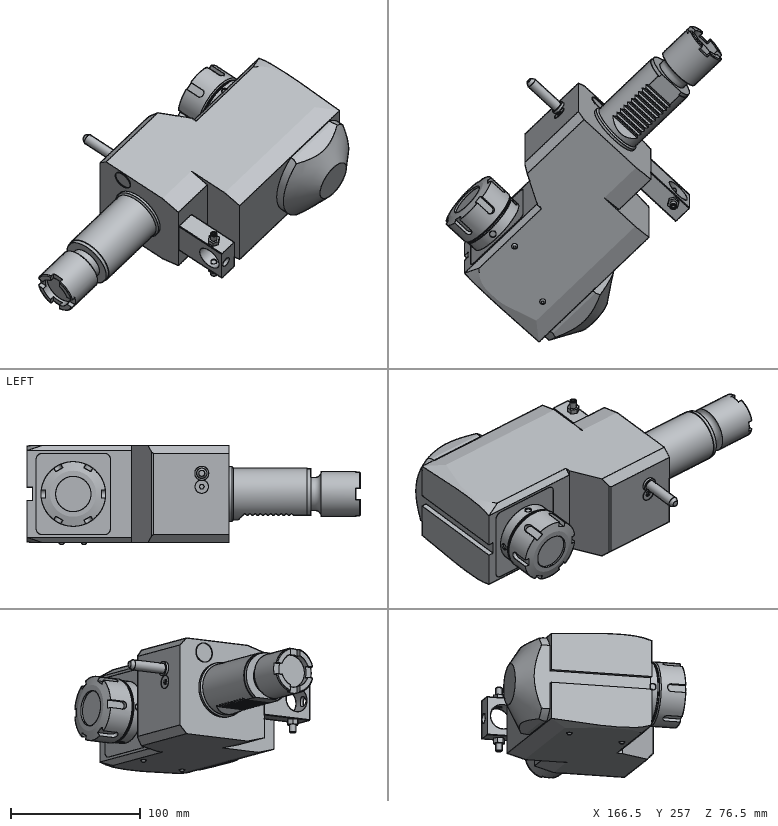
import cadquery as cq
import math


embed = 2.5

body_top = 37.5
body_back = 155.7
left_lower, left_upper = -38.8, -8.7
right_lower, right_upper = 39.5, 72.0
step_y = 35.0
slope_low_y, slope_high_y = 58.3, 75.3
slope_bevel_x, slope_bevel_y = 0.8, 1.3
left_lower_chamfer, left_upper_chamfer = 6.2, 4.0
side_taper_angle = math.radians(15)
lower_taper_width, upper_taper_width = 15.7, 14.6

relief_slope = 4.2
relief_depth = 12.0
relief_peak_x, relief_peak_depth = 20.3, 3.0
relief_line_x, relief_line_slope = 32.0, 0.3
relief_end_slope = 1.4
relief_overlap = 10.3
key_width, key_depth = 10.0, 4.0

spindle_y = 120.0
plate_width, plate_height, plate_radius, plate_proud = 57.3, 62.7, 5.0, 0.13
collar_radius, collar_end = 24.2, -17.2
neck_radius = 23.1
nut_radius, nut_start, nut_end = 25.0, -18.5, -41.0
nut_bevel_length, nut_rim_radius = 1.8, 17.7
nut_back_bevel = 1.0
nut_bore_radius, nut_bore_depth = 13.5, 1.5
nut_slot_count, nut_slot_width, nut_slot_floor, nut_slot_end = 6, 6.2, 21.5, -24.7
collar_hole_count, collar_hole_x, collar_hole_radius, collar_hole_depth = 4, -13.0, 2.5, 1.3
cap_radius, cap_rim_x = 40.3, 78.6
cap_tip_radius, cap_end = 16.0, 95.0
cap_flat_z, cap_flat_end = 33.0, 75.0

shank_collar_radius, shank_collar_end = 21.3, -2.0
shank_radius, shank_start, shank_end = 20.0, -3.3, -63.0
shank_groove_start, shank_tip_radius = -60.1, 19.5
flat_z, flat_start, flat_ramp = -16.5, -10.5, 5.1
tooth_count, tooth_depth, tooth_width = 10, 1.3, 3.0
first_tooth_y, last_tooth_y = -12.0, -48.0
tooth_pitch = (first_tooth_y - last_tooth_y) / (tooth_count - 1)

head_radius, head_start, head_end = 17.5, -71.0, -101.3
head_neck_radius, head_neck_end, head_chamfer = 12.8, -66.3, 0.8
head_bore_radius, head_bore_depth = 12.5, 6.0
drive_slot_width, drive_slot_depth = 8.7, 3.5

pin_y, pin_z = 21.0, 16.0
pin_diameter, pin_tip_x = 8.0, -71.5
pin_radius = pin_diameter / 2
pin_tip_radius, pin_tip_length = 2.3, 2.8
pin_flange_radius, pin_flange_height = 5.5, 2.0
plug_z, plug_radius, plug_recess = 5.7, 5.1, 0.3
plug_socket_size, socket_depth = 3.9, 1.5
front_plug_x, front_plug_z, front_plug_radius, front_plug_recess = -16.2, 27.8, 7.5, 0.8
nub_places = [(2.3, 111.8), (49.5, 129.0)]
nub_radius, nub_tip_radius, nub_height = 2.3, 1.0, 1.5

block_end, block_front, block_back, block_half_height = 82.2, 0.8, 16.2, 15.2
block_chamfer = 0.5
block_hole_x, block_hole_diameter = 70.0, 19.3
screw_y, screw_radius, screw_end, screw_tip_bevel = 6.2, 2.5, 25.2, 0.5
cross_hole_radius = 3.9
screw_start, screw_hole_radius, screw_socket_size = 10.5, 2.3, 2.8
screw_nut_height, screw_nut_diameter = 3.9, 9.0


def revolve_x(points, y=0.0, z=0.0):
    """Solid of revolution about a line along X; points are (x, radius) from axis to axis."""
    return cq.Workplane("XY").polyline(points).close().revolve(360, (0, 0), (1, 0)).translate((0, y, z))


def prism_y(points, start, length):
    """Prism along +Y from a closed outline of (x, z) points."""
    return cq.Workplane("XZ", origin=(0, start, 0)).polyline(points).close().extrude(-length)


def both_sides(solid):
    """The solid together with its mirror image below the middle plane."""
    return solid.union(solid.mirror("XY"))


def edge_cutter(face_x, inward, width, drop, start, end):
    """Wedge that chamfers the top edge of a side face, along Y from start to end."""
    points = [
        (face_x + inward * width, body_top),
        (face_x - inward * width, body_top - 2 * drop),
        (face_x - inward * width, body_top + drop),
        (face_x + inward * width, body_top + drop),
    ]
    return both_sides(prism_y(points, start, end - start))


def rear_relief():
    """Cutter for the rear top edge: a curve and a straight run, swept down and back."""
    in_plane = 1 / math.hypot(1, relief_slope)
    taper_start = right_upper - upper_taper_width
    outer_right = right_upper + relief_overlap
    outer_depth = relief_depth + relief_line_slope * (outer_right - taper_start)
    line_depth = relief_depth - relief_line_slope * (taper_start - relief_line_x)
    chamfer_start = left_upper + left_upper_chamfer
    corner_depth = relief_slope * left_upper_chamfer
    outer_left = left_upper - relief_overlap
    plane = cq.Plane(origin=(0, body_back, body_top), xDir=(1, 0, 0), normal=(0, relief_slope, -1))
    outline = (
        cq.Workplane(plane)
        .moveTo(outer_right, -relief_overlap)
        .lineTo(outer_right, outer_depth * in_plane)
        .lineTo(relief_line_x, line_depth * in_plane)
        .spline(
            [
                (relief_peak_x, relief_peak_depth * in_plane),
                (chamfer_start, relief_depth * in_plane),
                (left_upper, corner_depth * in_plane),
            ],
            tangents=[(-1, -relief_line_slope * in_plane), (-1, relief_end_slope * in_plane)],
            includeCurrent=True,
        )
        .lineTo(outer_left, corner_depth * in_plane)
        .lineTo(outer_left, -relief_overlap)
        .close()
    )
    return both_sides(outline.extrude(body_back / 2, both=True))


def make_body():
    outline = [
        (left_lower, 0),
        (right_lower, 0),
        (right_lower, step_y),
        (right_upper, step_y),
        (right_upper, body_back),
        (left_upper, body_back),
        (left_upper, slope_high_y),
        (left_lower + slope_bevel_x, slope_low_y + slope_bevel_y),
        (left_lower, slope_low_y),
    ]
    body = cq.Workplane("XY").polyline(outline).close().extrude(body_top, both=True)
    taper = math.tan(side_taper_angle)
    body = body.cut(edge_cutter(left_lower, 1, left_lower_chamfer, left_lower_chamfer, 0, slope_high_y))
    body = body.cut(
        edge_cutter(left_upper, 1, left_upper_chamfer, left_upper_chamfer, slope_high_y, body_back)
    )
    body = body.cut(edge_cutter(right_lower, -1, lower_taper_width, lower_taper_width * taper, 0, step_y))
    body = body.cut(
        edge_cutter(right_upper, -1, upper_taper_width, upper_taper_width * taper, step_y, body_back)
    )
    return body.cut(rear_relief())


def make_cap():
    start = right_upper - embed
    cap = revolve_x(
        [(start, 0), (start, cap_radius), (cap_rim_x, cap_radius), (cap_end, cap_tip_radius), (cap_end, 0)],
        spindle_y,
    )
    end_z = cap_flat_z - (cap_end - cap_flat_end) * math.tan(side_taper_angle)
    envelope = prism_y(
        [
            (start, -cap_flat_z),
            (cap_flat_end, -cap_flat_z),
            (cap_end, -end_z),
            (cap_end, end_z),
            (cap_flat_end, cap_flat_z),
            (start, cap_flat_z),
        ],
        0,
        body_back - key_depth,
    )
    return cap.intersect(envelope)


def make_plate():
    start = left_upper - plate_proud
    return (
        cq.Workplane("YZ", origin=(start, spindle_y, 0))
        .rect(plate_width, plate_height)
        .extrude(embed)
        .edges("|X")
        .fillet(plate_radius)
    )


def make_collet_nut():
    nut = revolve_x(
        [
            (left_upper + embed, 0),
            (left_upper + embed, collar_radius),
            (collar_end, collar_radius),
            (collar_end, neck_radius),
            (nut_start, neck_radius),
            (nut_start, nut_radius - nut_back_bevel),
            (nut_start - nut_back_bevel, nut_radius),
            (nut_end + nut_bevel_length, nut_radius),
            (nut_end, nut_rim_radius),
            (nut_end, nut_bore_radius),
            (nut_end + nut_bore_depth, nut_bore_radius),
            (nut_end + nut_bore_depth, 0),
        ],
        spindle_y,
    )
    slot_length = nut_slot_end - nut_end
    slot = (
        cq.Workplane("XZ", origin=(nut_end, spindle_y + nut_slot_floor, 0))
        .slot2D(2 * slot_length, nut_slot_width)
        .extrude(-nut_radius)
    )
    axis_start = (0, spindle_y, 0)
    axis_end = (1, spindle_y, 0)
    for index in range(nut_slot_count):
        nut = nut.cut(slot.rotate(axis_start, axis_end, index * 360 / nut_slot_count))
    collar_hole = (
        cq.Workplane("XY", origin=(collar_hole_x, spindle_y, collar_radius - collar_hole_depth))
        .circle(collar_hole_radius)
        .extrude(collar_radius)
    )
    for index in range(collar_hole_count):
        nut = nut.cut(collar_hole.rotate(axis_start, axis_end, index * 360 / collar_hole_count))
    return nut


def make_shank():
    shank = (
        cq.Workplane("XY")
        .moveTo(0, embed)
        .lineTo(shank_collar_radius, embed)
        .lineTo(shank_collar_radius, shank_collar_end)
        .lineTo(shank_radius, shank_start)
        .lineTo(shank_radius, shank_groove_start)
        .lineTo(shank_tip_radius, shank_groove_start)
        .lineTo(shank_tip_radius, shank_end)
        .lineTo(head_neck_radius, shank_end)
        .lineTo(head_neck_radius, head_neck_end)
        .tangentArcPoint((head_radius, head_start), relative=False)
        .lineTo(head_radius, head_end + head_chamfer)
        .lineTo(head_radius - head_chamfer, head_end)
        .lineTo(head_bore_radius, head_end)
        .lineTo(head_bore_radius, head_end + head_bore_depth)
        .lineTo(0, head_end + head_bore_depth)
        .close()
        .revolve(360, (0, 0), (0, 1))
    )
    shank = shank.cut(shank_flat())
    for length, width in [(2 * shank_radius, drive_slot_width), (drive_slot_width, 2 * shank_radius)]:
        slot = cq.Workplane("XY").box(length, 2 * drive_slot_depth, width).translate((0, head_end, 0))
        shank = shank.cut(slot)
    return shank


def shank_flat():
    """Cutter for the toothed flat under the shank."""
    flat = (
        cq.Workplane("YZ")
        .polyline(
            [
                (flat_start, flat_z),
                (flat_start + flat_ramp, flat_z - flat_ramp),
                (shank_end, flat_z - flat_ramp),
                (shank_end, flat_z),
            ]
        )
        .close()
        .extrude(shank_radius, both=True)
    )
    for index in range(tooth_count):
        middle = first_tooth_y - index * tooth_pitch
        notch = (
            cq.Workplane("YZ")
            .polyline(
                [
                    (middle - tooth_width / 2, flat_z),
                    (middle, flat_z + tooth_depth),
                    (middle + tooth_width / 2, flat_z),
                ]
            )
            .close()
            .extrude(shank_radius, both=True)
        )
        flat = flat.union(notch)
    return flat


def make_coolant_pin():
    flange_x = left_lower - pin_flange_height
    return revolve_x(
        [
            (left_lower + embed, 0),
            (left_lower + embed, pin_flange_radius),
            (flange_x, pin_flange_radius),
            (flange_x, pin_radius),
            (pin_tip_x + pin_tip_length, pin_radius),
            (pin_tip_x, pin_tip_radius),
            (pin_tip_x, 0),
        ],
        pin_y,
        pin_z,
    )


def plug_recesses():
    """Cutter for the recessed side plug with its hexagon socket, and the recessed front plug."""
    side = cq.Workplane("YZ", origin=(left_lower, pin_y, plug_z))
    plug = side.circle(plug_radius).extrude(plug_recess)
    socket = side.polygon(6, plug_socket_size).extrude(socket_depth)
    front = (
        cq.Workplane("XZ", origin=(front_plug_x, 0, front_plug_z))
        .circle(front_plug_radius)
        .extrude(-front_plug_recess)
    )
    return plug.union(socket).union(front)


def make_nub(x, y):
    """Small conical screw point below the body."""
    outline = [
        (0, embed),
        (nub_radius, embed),
        (nub_radius, 0),
        (nub_tip_radius, -nub_height),
        (0, -nub_height),
    ]
    return (
        cq.Workplane("XZ")
        .polyline(outline)
        .close()
        .revolve(360, (0, 0), (0, 1))
        .translate((x, y, -body_top))
    )


def make_side_block():
    start = right_lower - embed
    length = block_end - start
    width = block_back - block_front
    block = (
        cq.Workplane("XY")
        .box(length, width, 2 * block_half_height, centered=(False, False, True))
        .translate((start, block_front, 0))
        .edges("|X")
        .chamfer(block_chamfer)
    )
    screw = (
        cq.Workplane("XY", origin=(block_hole_x, screw_y, 0))
        .circle(screw_radius)
        .extrude(screw_end)
        .faces(">Z")
        .chamfer(screw_tip_bevel)
        .faces(">Z")
        .workplane()
        .polygon(6, screw_socket_size)
        .cutBlind(-socket_depth)
    )
    screw_nut = (
        cq.Workplane("XY", origin=(block_hole_x, screw_y, block_half_height))
        .polygon(6, screw_nut_diameter)
        .extrude(screw_nut_height)
    )
    hole = (
        cq.Workplane("XZ", origin=(block_hole_x, 0, 0))
        .circle(block_hole_diameter / 2)
        .extrude(-2 * block_back)
    )
    cross_hole = (
        cq.Workplane("YZ", origin=(block_hole_x, screw_y, 0))
        .circle(cross_hole_radius)
        .extrude(length)
    )
    screw_hole = (
        cq.Workplane("XY", origin=(block_hole_x, screw_y, 0))
        .circle(screw_hole_radius)
        .extrude(screw_start, both=True)
    )
    block = block.union(both_sides(screw.union(screw_nut)))
    return block.cut(hole).cut(cross_hole).cut(screw_hole)


result = make_body().union(make_cap())
rear_key = cq.Workplane("XY").box(4 * right_upper, 2 * key_depth, key_width).translate((0, body_back, 0))
result = result.cut(rear_key).cut(plug_recesses())
for feature in [
    make_plate(),
    make_collet_nut(),
    make_shank(),
    make_coolant_pin(),
    make_side_block(),
    *[make_nub(x, y) for x, y in nub_places],
]:
    result = result.union(feature)